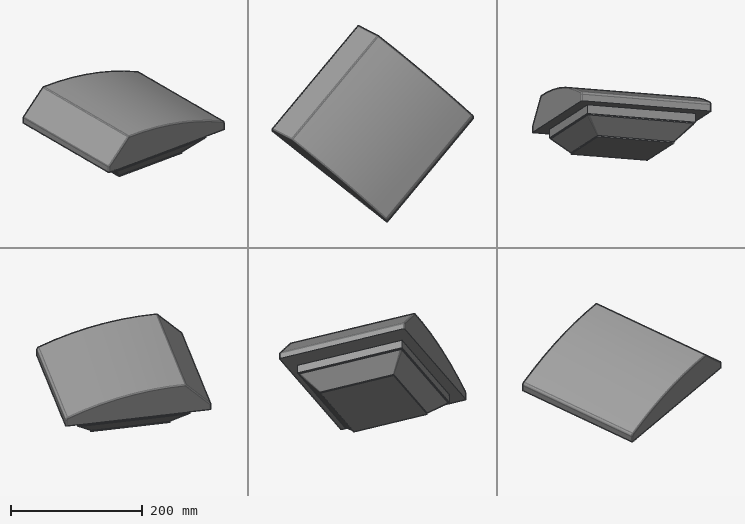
import cadquery as cq
import math

cap_width = 209.0
cap_depth = 226.0
cap_bottom = 42.3
front_height = 10.2
back_height = 13.5
slope_run = 38.9
slope_rise = 39.3
arch_radius = 458.8
edge_radius = 1.8
ridge_radius = 3.0
back_edge_radius = 5.0
collar_size = 174.5
collar_height = 13.5

mouth_size = 171.8
mouth_rim_height = 1.8
mouth_corner_radius = 2.0
spout_size = 123.2
spout_height = 2.0
spout_corner_radius = 0.5

collar_offset = 3.2

collar_bottom = cap_bottom - collar_height
mouth_rim_bottom = collar_bottom - mouth_rim_height
front = -cap_depth / 2
back = cap_depth / 2
front_top = (front, cap_bottom + front_height)
ridge = (front + slope_run, cap_bottom + front_height + slope_rise)
back_top = (back, cap_bottom + back_height)


def arch_middle(start, end, radius):
    """Halfway point of the upward-bulging arc between two (y, z) points."""
    run = end[0] - start[0]
    rise = end[1] - start[1]
    chord = math.hypot(run, rise)
    bulge = radius - math.sqrt(radius**2 - (chord / 2) ** 2)
    middle_y = (start[0] + end[0]) / 2 - bulge * rise / chord
    middle_z = (start[1] + end[1]) / 2 + bulge * run / chord
    return (middle_y, middle_z)


def round_cross_edge(body, corner, radius):
    """Fillet the edge along X that passes through a (y, z) profile corner."""
    edge_at_corner = cq.selectors.NearestToPointSelector((0, *corner))
    return body.edges("|X").edges(edge_at_corner).fillet(radius)


def make_cover():
    cover = (
        cq.Workplane("YZ")
        .moveTo(front, cap_bottom)
        .lineTo(*front_top)
        .lineTo(*ridge)
        .threePointArc(arch_middle(ridge, back_top, arch_radius), back_top)
        .lineTo(back, cap_bottom)
        .close()
        .extrude(cap_width / 2, both=True)
    )
    cover = round_cross_edge(cover, back_top, back_edge_radius)
    cover = round_cross_edge(cover, ridge, ridge_radius)
    cover = round_cross_edge(cover, front_top, edge_radius)
    side_outlines = cover.faces("<X or >X").edges("not <Z")
    return side_outlines.fillet(edge_radius)


def make_collar():
    return (
        cq.Workplane("XY", origin=(0, collar_offset, collar_bottom))
        .rect(collar_size, collar_size)
        .extrude(collar_height)
    )


def make_cap():
    return make_cover().union(make_collar())


def rounded_square(size, corner_radius):
    return cq.Sketch().rect(size, size).vertices().fillet(corner_radius)


def make_funnel():
    mouth = rounded_square(mouth_size, mouth_corner_radius)
    spout = rounded_square(spout_size, spout_corner_radius)
    taper_height = mouth_rim_bottom - spout_height

    rim_part = (
        cq.Workplane("XY", origin=(0, collar_offset, mouth_rim_bottom))
        .placeSketch(mouth)
        .extrude(mouth_rim_height)
    )
    taper_part = (
        cq.Workplane("XY", origin=(0, collar_offset, spout_height))
        .placeSketch(spout, mouth.moved(cq.Location(cq.Vector(0, 0, taper_height))))
        .loft(ruled=True)
    )
    spout_part = (
        cq.Workplane("XY", origin=(0, collar_offset, 0))
        .placeSketch(spout)
        .extrude(spout_height)
    )
    return spout_part.union(taper_part).union(rim_part)


cap = make_cap()
funnel = make_funnel()
result = cq.Compound.makeCompound([cap.solids().val(), funnel.solids().val()])